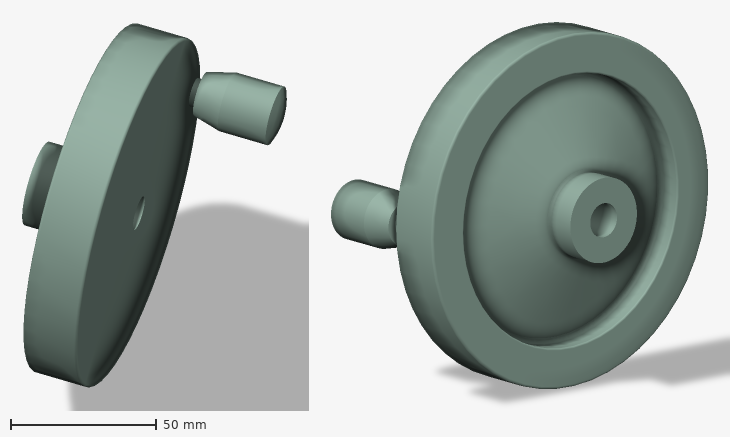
import cadquery as cq

rim_diameter = 125.0
rim_width = 19.8
rim_edge_radius = 0.9
recess_diameter = 96.4
recess_edge_radius = 0.6
recess_corner_radius = 1.4
bore_diameter = 12.0

hub_diameter = 30.0
hub_projection = 17.5
hub_length = 10.9
hub_root_radius = 1.3
cone_slope = 0.48

handle_offset = 55.3
stem_diameter = 10.1
stem_length = 2.6
grip_small_diameter = 15.9
grip_diameter = 21.0
grip_taper_length = 10.0
grip_straight_length = 17.5
grip_dome_height = 2.5

rim_radius = rim_diameter / 2
recess_radius = recess_diameter / 2
hub_radius = hub_diameter / 2
hub_front = -hub_projection
cone_start = hub_front + hub_length
recess_depth = cone_start + cone_slope * (recess_radius - hub_radius)


def revolve_about_x(profile):
    """Turn a closed XY profile fully about the X axis."""
    return profile.close().revolve(360, (0, 0, 0), (1, 0, 0))


def circle_edge(x, radius):
    """Select the circular edge of the given radius at one place along the axis."""
    margin = 0.1
    outer = radius + margin
    inner = radius - margin
    within_outer = cq.selectors.BoxSelector(
        (x - margin, -outer, -outer), (x + margin, outer, outer), boundingbox=True
    )
    within_inner = cq.selectors.BoxSelector(
        (x - margin, -inner, -inner), (x + margin, inner, inner), boundingbox=True
    )
    return within_outer - within_inner


def make_wheel():
    """Rim, dished web and hub as one turned body with a through bore."""
    profile = (
        cq.Workplane("XY")
        .moveTo(hub_front, 0)
        .lineTo(hub_front, hub_radius)
        .lineTo(cone_start, hub_radius)
        .lineTo(recess_depth, recess_radius)
        .lineTo(0, recess_radius)
        .lineTo(0, rim_radius)
        .lineTo(rim_width, rim_radius)
        .lineTo(rim_width, 0)
    )
    wheel = revolve_about_x(profile)

    for x in (0, rim_width):
        wheel = wheel.edges(circle_edge(x, rim_radius)).fillet(rim_edge_radius)
    wheel = wheel.edges(circle_edge(0, recess_radius)).fillet(recess_edge_radius)
    wheel = wheel.edges(circle_edge(cone_start, hub_radius)).fillet(hub_root_radius)
    wheel = wheel.edges(circle_edge(recess_depth, recess_radius)).fillet(recess_corner_radius)
    bore = (
        cq.Workplane("YZ", origin=(hub_front, 0, 0))
        .circle(bore_diameter / 2)
        .extrude(hub_projection + rim_width)
    )
    return wheel.cut(bore)


def make_handle():
    """Stem and tapered grip with a domed end, seated on the rim's back face."""
    grip_start = rim_width + stem_length
    taper_end = grip_start + grip_taper_length
    straight_end = taper_end + grip_straight_length
    grip_radius = grip_diameter / 2
    dome_radius = (grip_radius**2 + grip_dome_height**2) / (2 * grip_dome_height)
    profile = (
        cq.Workplane("XY")
        .moveTo(rim_width, 0)
        .lineTo(rim_width, stem_diameter / 2)
        .lineTo(grip_start, stem_diameter / 2)
        .lineTo(grip_start, grip_small_diameter / 2)
        .lineTo(taper_end, grip_radius)
        .lineTo(straight_end, grip_radius)
        .radiusArc((straight_end + grip_dome_height, 0), dome_radius)
    )
    return revolve_about_x(profile).translate((0, handle_offset, 0))


result = make_wheel().union(make_handle())